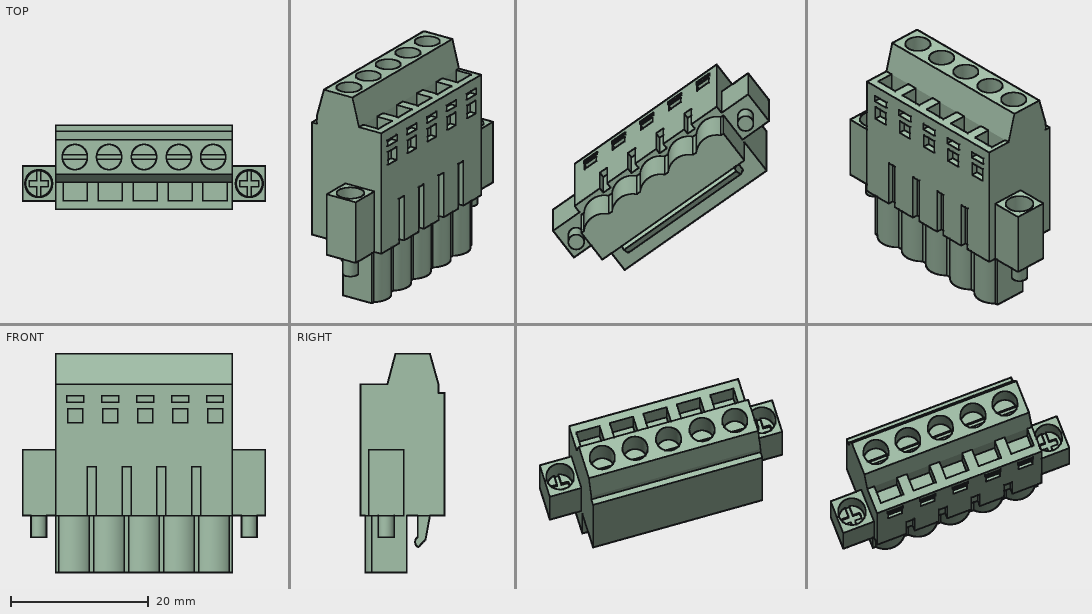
import cadquery as cq


overall_length = 35.2
body_length = 25.63
body_depth = 12.2
body_bottom = 8.27
total_height = 31.8
way_count = 5
way_pitch = 5.07

front_ledge_height = 27.4
front_ledge_depth = 3.9
ridge_front = 5.07
ridge_back = 10.1
shoulder_y = 11.35
back_shoulder_height = 26.1

well_diameter = 3.65
outer_well_x = 10.03
well_spots = [-outer_well_x, -way_pitch, 0.0, way_pitch, outer_well_x]
well_y = (ridge_front + ridge_back) / 2
well_depth = 10.55
clamp_screw_length = 5.28
clamp_slot_width = 0.65
clamp_slot_depth = 0.7

opening_shift = 0.18
opening_width = 3.52
opening_front = 1.23
opening_depth = 4.22
window_depth = 1.0
upper_window_width = 2.43
upper_window_bottom = 24.75
upper_window_height = 0.95
lower_window_width = 2.2
lower_window_bottom = 21.75
lower_window_height = 2.05

slot_width = 1.3
slot_top = 15.35
slot_depth = 0.85

barrel_front = 0.67
barrel_side_y = 1.65
barrel_back = 6.75
barrel_width = 4.45

latch_length = (way_count - 1) * way_pitch
latch_back = 10.1
latch_front = 8.3
latch_heel = (9.47, 4.82)
latch_nose_top = (latch_front, 5.17)
latch_nose_middle = (7.92, 4.4)
latch_nose_bottom = (8.4, 3.7)

flange_front = 1.2
flange_back = 6.3
flange_top = 17.88
flange_length = (overall_length - body_length) / 2
flange_screw_x = 15.28
flange_screw_y = 3.73
flange_bore_diameter = 4.0
flange_bore_depth = 7.05
head_diameter = 3.8
head_height = 2.8
shank_diameter = 2.3
shank_bottom = 5.15
cross_depth = 0.7
cross_long_width = 0.65
cross_short_width = 0.88
cross_short_length = 2.8


def row(count, shift=0.0):
    """X places of `count` features spaced by the way pitch, centred on `shift`."""
    return [shift + (i - (count - 1) / 2) * way_pitch for i in range(count)]


def block(x_middle, x_size, y_start, y_end, z_start, z_end):
    """Box centred on x_middle and lying between the given Y and Z limits."""
    return (
        cq.Workplane("XY", origin=(x_middle, 0, z_start))
        .moveTo(0, (y_start + y_end) / 2)
        .rect(x_size, y_end - y_start)
        .extrude(z_end - z_start)
    )


def cylinder(x, y, z_start, z_end, diameter):
    """Upright cylinder between two heights."""
    return cq.Workplane("XY", origin=(x, y, z_start)).circle(diameter / 2).extrude(z_end - z_start)


def make_shell():
    """Body with the tapered ridge on top."""
    return (
        cq.Workplane("YZ")
        .moveTo(0, body_bottom)
        .lineTo(0, front_ledge_height)
        .lineTo(front_ledge_depth, front_ledge_height)
        .lineTo(ridge_front, total_height)
        .lineTo(ridge_back, total_height)
        .lineTo(shoulder_y, front_ledge_height)
        .lineTo(shoulder_y, back_shoulder_height)
        .lineTo(body_depth, back_shoulder_height)
        .lineTo(body_depth, body_bottom)
        .close()
        .extrude(body_length / 2, both=True)
    )


def make_barrels():
    """Row of barrels with bowed fronts, joined behind by a straight block."""
    barrels = block(0, body_length, barrel_side_y, barrel_back, 0, body_bottom)
    for x in row(way_count):
        bowed_front = (
            cq.Workplane("XY")
            .moveTo(x - barrel_width / 2, barrel_side_y)
            .threePointArc((x, barrel_front), (x + barrel_width / 2, barrel_side_y))
            .close()
            .extrude(body_bottom)
        )
        barrels = barrels.union(bowed_front)
    return barrels


def make_latch():
    """Latch with a rounded nose, hanging from the underside of the body."""
    return (
        cq.Workplane("YZ")
        .moveTo(latch_back, body_bottom)
        .lineTo(*latch_heel)
        .lineTo(*latch_nose_bottom)
        .threePointArc(latch_nose_middle, latch_nose_top)
        .lineTo(latch_front, body_bottom)
        .close()
        .extrude(latch_length / 2, both=True)
    )


def make_flange(side):
    """Flange at one end of the body, bored for its screw."""
    x_middle = side * (body_length + flange_length) / 2
    x_screw = side * flange_screw_x
    seat = flange_top - flange_bore_depth
    flange = block(x_middle, flange_length, flange_front, flange_back, body_bottom, flange_top)
    flange = flange.cut(cylinder(x_screw, flange_screw_y, seat, flange_top, flange_bore_diameter))
    return flange.cut(cylinder(x_screw, flange_screw_y, body_bottom, seat, shank_diameter))


def cut_way_openings(body):
    """Wire opening and the two blind windows of every way."""
    for x in row(way_count, opening_shift):
        opening_floor = front_ledge_height - opening_depth
        body = body.cut(
            block(x, opening_width, opening_front, front_ledge_depth, opening_floor, front_ledge_height)
        )
        upper_top = upper_window_bottom + upper_window_height
        body = body.cut(block(x, upper_window_width, 0, window_depth, upper_window_bottom, upper_top))
        lower_top = lower_window_bottom + lower_window_height
        body = body.cut(block(x, lower_window_width, 0, window_depth, lower_window_bottom, lower_top))
    return body


def make_housing():
    housing = cut_way_openings(make_shell())
    for x in well_spots:
        housing = housing.cut(cylinder(x, well_y, total_height - well_depth, total_height, well_diameter))
    for x in row(way_count - 1):
        housing = housing.cut(block(x, slot_width, 0, slot_depth, body_bottom, slot_top))
    housing = housing.union(make_barrels()).union(make_latch())
    for side in (-1, 1):
        housing = housing.union(make_flange(side))
    return housing


def make_clamp_screw(x):
    """Slotted screw that fills the bottom of its well."""
    bottom = total_height - well_depth
    top = bottom + clamp_screw_length
    screw = cylinder(x, well_y, bottom, top, well_diameter)
    slot_front = well_y - clamp_slot_width / 2
    slot_back = well_y + clamp_slot_width / 2
    return screw.cut(block(x, well_diameter, slot_front, slot_back, top - clamp_slot_depth, top))


def make_flange_screw(x):
    """Screw with a crossed recess: one slot across the whole head, one shorter with curved ends."""
    seat = flange_top - flange_bore_depth
    top = seat + head_height
    floor = top - cross_depth
    head = cylinder(x, flange_screw_y, seat, top, head_diameter)
    shank = cylinder(x, flange_screw_y, shank_bottom, seat, shank_diameter)
    head_front = flange_screw_y - head_diameter / 2
    head_back = flange_screw_y + head_diameter / 2
    long_slot = block(x, cross_long_width, head_front, head_back, floor, top)
    short_front = flange_screw_y - cross_short_width / 2
    short_back = flange_screw_y + cross_short_width / 2
    short_slot = block(x, cross_short_length, short_front, short_back, floor, top)
    short_slot = short_slot.intersect(cylinder(x, flange_screw_y, floor, top, cross_short_length))
    return head.union(shank).cut(long_slot).cut(short_slot)


housing = make_housing()
clamp_screws = [make_clamp_screw(x) for x in well_spots]
flange_screws = [make_flange_screw(side * flange_screw_x) for side in (-1, 1)]

result = cq.Compound.makeCompound(
    [housing.val()] + [screw.val() for screw in clamp_screws] + [screw.val() for screw in flange_screws]
)